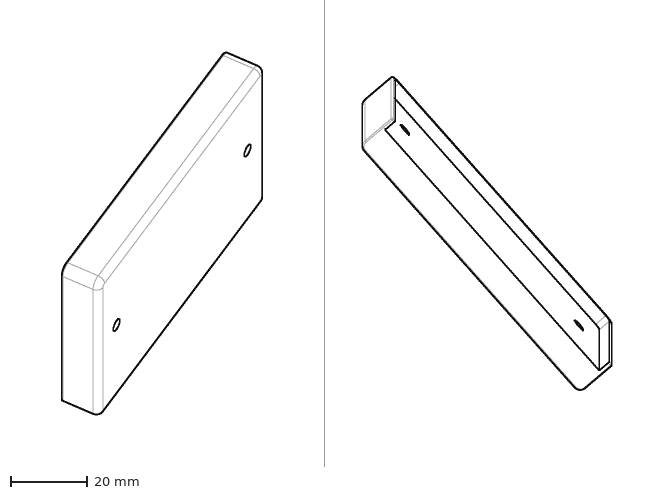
import cadquery as cq

depth = 11.5
length = 88.1
height = 53.0
wall = 1.2
recess_depth = 3.5
corner_radius = 2.7
back_round = 1.9
rim_round = 0.4
hole_diameter = 3.4
hole_spacing = 69.6
hole_height = 27.7


def arched_block(width, top, thickness, radius):
    """Block standing on Z = 0, with its front at X = 0 and rounded upper corners."""
    block = cq.Workplane("XY").box(thickness, width, top, centered=(False, True, False))
    return block.edges("|X and >Z").fillet(radius)


body = arched_block(length, height, depth, corner_radius)
body = body.faces(">X").edges("not <Z").fillet(back_round)
body = body.faces("<X or <Z").edges("not (>X and <Z)").fillet(rim_round)

recess = arched_block(
    length - 2 * wall, height - wall, recess_depth, corner_radius - wall
)
body = body.cut(recess)

holes = (
    cq.Workplane("YZ")
    .pushPoints([(side * hole_spacing / 2, hole_height) for side in (-1, 1)])
    .circle(hole_diameter / 2)
    .extrude(depth)
)

result = body.cut(holes)